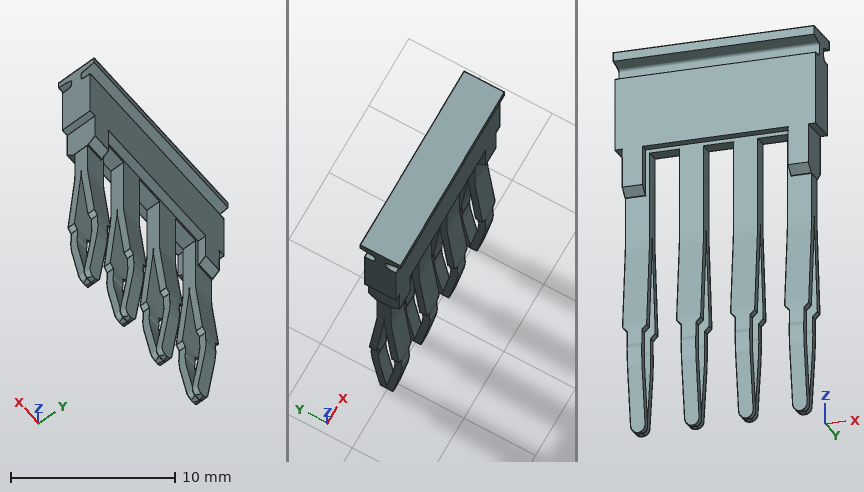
import cadquery as cq
import math


housing_length = 13.0
block_half_depth = 1.1
block_height = 4.65
neck_half_depth = 0.37
neck_foot_radius = 0.32
cap_depth = 2.8
cap_lip_bottom = 5.73
cap_top = 6.3
cap_underside_drop = 0.22
cap_root_radius = 0.2
selection_margin = 0.02

tine_count = 4
tine_pitch = 3.5
tine_width = 1.55
tine_half_depth = 0.5
strip_thickness = 0.5
bar_height = 0.25

leg_width = 1.31
leg_height = 3.03
leg_foot_half_depth = 0.57

prong_width = 0.95
slit_half_gap = 0.012
bend_start = -5.68
bend_height = 0.92
spread_angle = math.radians(5.5)
spread_end = -11.58
straight_start = -11.98
straight_end = -12.92
kick_end = -13.15
kick_out = 0.05
upper_taper_end = -14.3
upper_taper_angle = math.radians(4.1)
lower_taper_angle = math.radians(8.5)
overall_height = 24.8
tip_bottom = cap_top - overall_height
shoulder_top = -11.73

cap_half_depth = cap_depth / 2
cap_root_z = cap_lip_bottom - cap_underside_drop
outer_tine_x = tine_pitch * (tine_count - 1) / 2
leg_outer_x = outer_tine_x + tine_width / 2
leg_inner_x = leg_outer_x - leg_width
shoulder_bottom = shoulder_top - (tine_width - prong_width) / 2


def mirrored(points):
    """Close a half outline, listed from top to bottom, with its mirror image about the Z axis."""
    return points + [(-across, z) for across, z in reversed(points)]


def centred_box(length, depth, bottom, top):
    """Box centred on the Z axis, from the bottom height to the top height."""
    return cq.Workplane("XY").workplane(offset=bottom).rect(length, depth).extrude(top - bottom)


def housing_block():
    """Full-length extrusion of the block, the neck and the T-shaped cap."""
    section = mirrored([
        (cap_half_depth, cap_top),
        (cap_half_depth, cap_lip_bottom),
        (neck_half_depth, cap_root_z),
        (neck_half_depth, block_height),
        (block_half_depth, block_height),
        (block_half_depth, 0),
    ])
    block = cq.Workplane("YZ").polyline(section).close().extrude(housing_length / 2, both=True)

    def neck_edges_at(z):
        corner = neck_half_depth + selection_margin
        box = cq.selectors.BoxSelector(
            (-housing_length, -corner, z - selection_margin),
            (housing_length, corner, z + selection_margin),
        )
        return cq.selectors.AndSelector(box, cq.selectors.ParallelDirSelector(cq.Vector(1, 0, 0)))

    block = block.edges(neck_edges_at(block_height)).fillet(neck_foot_radius)
    return block.edges(neck_edges_at(cap_root_z)).fillet(cap_root_radius)


def housing_leg(side):
    """End leg with 45-degree chamfers at its foot; side is -1 or 1 along X."""
    chamfer = block_half_depth - leg_foot_half_depth
    section = mirrored([
        (block_half_depth, 0),
        (block_half_depth, chamfer - leg_height),
        (leg_foot_half_depth, -leg_height),
    ])
    leg = cq.Workplane("YZ").polyline(section).close().extrude(leg_width)
    start_x = leg_inner_x if side > 0 else -leg_outer_x
    return leg.translate((start_x, 0, 0))


def make_housing():
    return housing_block().union(housing_leg(-1)).union(housing_leg(1))


def prong_section():
    """Side section (Y, Z) of one bent prong on the +Y side, below the solid stem."""
    bend_radius = bend_height / math.sin(spread_angle)
    bend_shift = bend_radius * (1 - math.cos(spread_angle))
    half_bend_shift = bend_radius * (1 - math.cos(spread_angle / 2))
    half_bend_z = bend_start - bend_radius * math.sin(spread_angle / 2)
    bend_end = bend_start - bend_height
    spread_shift = bend_shift + (bend_end - spread_end) * math.tan(spread_angle)
    straight_shift = spread_shift + (spread_end - straight_start) * math.tan(spread_angle / 2)
    kick_shift = straight_shift + kick_out
    taper_shift = kick_shift - (kick_end - upper_taper_end) * math.tan(upper_taper_angle)
    tip_shift = taper_shift - (upper_taper_end - tip_bottom) * math.tan(lower_taper_angle)

    outer = tine_half_depth
    inner = tine_half_depth - strip_thickness
    tip_outer = outer + tip_shift
    cut_depth = strip_thickness * math.cos(lower_taper_angle)
    tip_inner = tip_outer - cut_depth * math.cos(lower_taper_angle)
    tip_inner_z = tip_bottom + cut_depth * math.sin(lower_taper_angle)
    return (
        cq.Workplane("YZ")
        .moveTo(outer, bend_start)
        .threePointArc((outer + half_bend_shift, half_bend_z), (outer + bend_shift, bend_end))
        .lineTo(outer + spread_shift, spread_end)
        .lineTo(outer + straight_shift, straight_start)
        .lineTo(outer + straight_shift, straight_end)
        .lineTo(outer + kick_shift, kick_end)
        .lineTo(outer + taper_shift, upper_taper_end)
        .lineTo(tip_outer, tip_bottom)
        .lineTo(tip_inner, tip_inner_z)
        .lineTo(inner + taper_shift, upper_taper_end)
        .lineTo(inner + kick_shift, kick_end)
        .lineTo(inner + straight_shift, straight_end)
        .lineTo(inner + straight_shift, straight_start)
        .lineTo(inner + spread_shift, spread_end)
        .lineTo(inner + bend_shift, bend_end)
        .threePointArc((inner + half_bend_shift, half_bend_z), (inner, bend_start))
        .close()
    )


def tine_face():
    """Front outline of a tine: wide stem, sloping shoulders and a narrow prong with a round end."""
    half_tine = tine_width / 2
    half_prong = prong_width / 2
    round_start = tip_bottom + half_prong
    return (
        cq.Workplane("XZ")
        .moveTo(-half_tine, 0)
        .lineTo(half_tine, 0)
        .lineTo(half_tine, shoulder_top)
        .lineTo(half_prong, shoulder_bottom)
        .lineTo(half_prong, round_start)
        .threePointArc((0, tip_bottom), (-half_prong, round_start))
        .lineTo(-half_prong, shoulder_bottom)
        .lineTo(-half_tine, shoulder_top)
        .close()
        .extrude(cap_half_depth, both=True)
    )


def make_tine():
    """Solid stem that splits into two bowed prongs, trimmed to the front outline."""
    prong = prong_section().extrude(tine_width / 2, both=True)
    slit = centred_box(tine_width, 2 * slit_half_gap, tip_bottom, bend_start)
    stem = centred_box(tine_width, 2 * tine_half_depth, bend_start, 0)
    prongs = prong.cut(slit)
    tine = stem.union(prongs).union(prongs.mirror("XZ"))
    return tine.intersect(tine_face())


def make_contact_comb():
    """Tines joined by a bar under the housing block and notched around the housing legs."""
    comb = centred_box(2 * leg_inner_x, 2 * tine_half_depth, -bar_height, 0)
    tine = make_tine()
    for index in range(tine_count):
        comb = comb.union(tine.translate((index * tine_pitch - outer_tine_x, 0, 0)))
    return comb.cut(housing_leg(-1)).cut(housing_leg(1))


housing = make_housing()
contact_comb = make_contact_comb()

result = cq.Compound.makeCompound([housing.val(), contact_comb.val()])